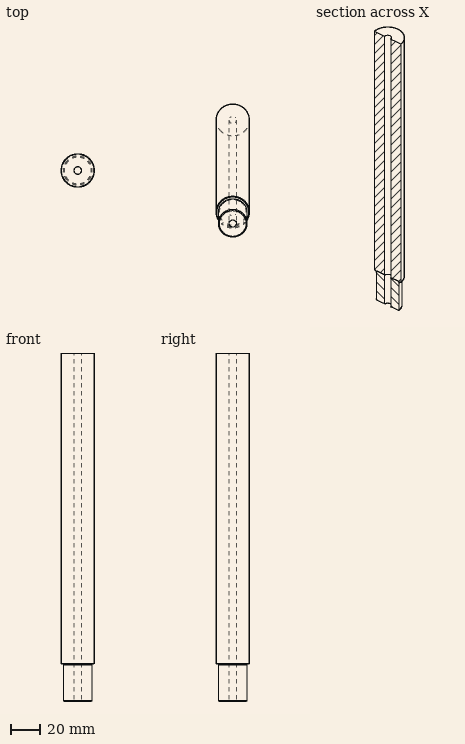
import cadquery as cq

TOTAL_LENGTH = 240.0
ROD_DIAMETER = 23.0
ROD_CHAMFER = 0.5
STUB_DIAMETER = 20.0
STUB_LENGTH = 26.0
STUB_CHAMFER = 0.7
BORE_DIAMETER = 5.0

ROD_LENGTH = TOTAL_LENGTH - STUB_LENGTH

OUTER_RIM = cq.selectors.RadiusNthSelector(-1)


def bored_cylinder(diameter, length, base_height):
    """Vertical cylinder with the common bore running along its axis."""
    return (
        cq.Workplane("XY", origin=(0, 0, base_height))
        .circle(diameter / 2)
        .circle(BORE_DIAMETER / 2)
        .extrude(length)
    )


def make_rod():
    """Long rod standing on the stub, chamfered around its lower rim."""
    rod = bored_cylinder(ROD_DIAMETER, ROD_LENGTH, STUB_LENGTH)
    return rod.faces("<Z").edges(OUTER_RIM).chamfer(ROD_CHAMFER)


def make_stub():
    """Short, narrower stub below the rod, chamfered around both outer rims."""
    stub = bored_cylinder(STUB_DIAMETER, STUB_LENGTH, 0)
    return stub.faces("<Z or >Z").edges(OUTER_RIM).chamfer(STUB_CHAMFER)


rod = make_rod()
stub = make_stub()

result = cq.Compound.makeCompound([rod.val(), stub.val()])